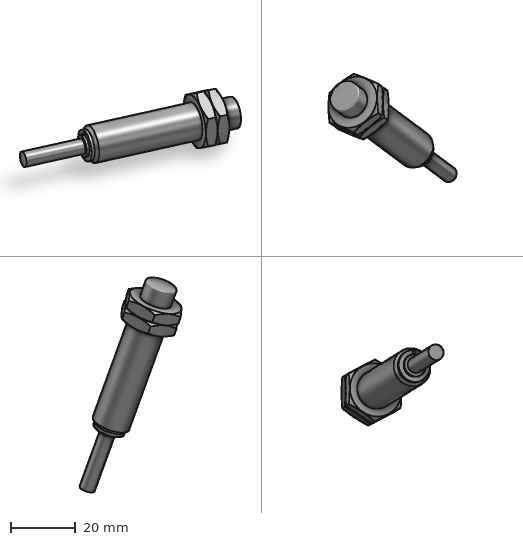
import cadquery as cq
import math

total_length = 72
cable_length = 20.0
collar_length = 0.9
end_step_length = 1.1
end_taper_length = 1.1
tip_length = 5.7
tip_rounding_radius = 0.5

cable_diameter = 5.0
collar_diameter = 7.05
step_diameter = 10.15
body_diameter = 12.0

nut_count = 2
nut_thickness = 4.0
nut_across_flats = 17.0
nut_face_diameter = 16.8
nut_chamfer_angle = 30

lamp_radius = 0.5
lamp_height = 4.25

collar_end = cable_length + collar_length
step_end = collar_end + end_step_length
taper_end = step_end + end_taper_length
tip_start = total_length - tip_length
nuts_start = tip_start - nut_count * nut_thickness


def revolve_about_y(profile):
    """Revolve a closed (radius, y) profile about the Y axis."""
    return cq.Workplane("XY").polyline(profile).close().revolve(360, (0, 0), (0, 1))


def make_barrel():
    """Cable, collar, threaded body and sensing tip as one turned shape."""
    cable_radius = cable_diameter / 2
    collar_radius = collar_diameter / 2
    step_radius = step_diameter / 2
    body_radius = body_diameter / 2
    barrel = revolve_about_y([
        (0, 0),
        (cable_radius, 0),
        (cable_radius, cable_length),
        (collar_radius, cable_length),
        (collar_radius, collar_end),
        (step_radius, collar_end),
        (step_radius, step_end),
        (body_radius, taper_end),
        (body_radius, tip_start),
        (step_radius, tip_start),
        (step_radius, total_length),
        (0, total_length),
    ])
    return barrel.faces(">Y").edges().fillet(tip_rounding_radius)


def make_nut(start):
    """Hexagon nut with conically chamfered corners and flats facing +X and -X."""
    end = start + nut_thickness
    corner_radius = nut_across_flats / 2 / math.cos(math.radians(30))
    face_radius = nut_face_diameter / 2
    chamfer_depth = (corner_radius - face_radius) * math.tan(math.radians(nut_chamfer_angle))
    hexagon = (
        cq.Workplane("XZ", origin=(0, start, 0))
        .polygon(6, 2 * corner_radius)
        .extrude(-nut_thickness)
        .rotate((0, 0, 0), (0, 1, 0), 30)
    )
    chamfer_envelope = revolve_about_y([
        (0, start),
        (face_radius, start),
        (corner_radius, start + chamfer_depth),
        (corner_radius, end - chamfer_depth),
        (face_radius, end),
        (0, end),
    ])
    return hexagon.intersect(chamfer_envelope)


def make_lamp():
    """Ball half sunk into the rear face above the collar."""
    return cq.Workplane("XY").sphere(lamp_radius).translate((0, collar_end, lamp_height))


result = make_barrel().union(make_lamp())
for index in range(nut_count):
    result = result.union(make_nut(nuts_start + index * nut_thickness))